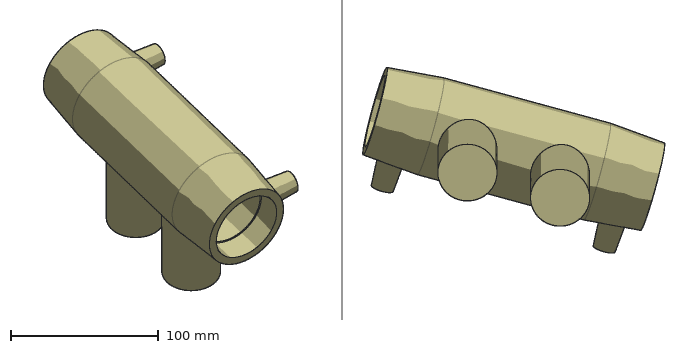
import cadquery as cq

sleeve_length = 195.0
sleeve_diameter = 68.0
end_diameter = 61.5
end_length = 39.0
half_length = sleeve_length / 2
sleeve_radius = sleeve_diameter / 2

overall_height = 123.0
overall_width = 85.0

bore_diameter = 47.5
socket_diameter = 50.0
socket_depth = 18.0

branch_diameter = 40.0
branch_spacing = 65.1
branch_reach = overall_height - sleeve_radius

terminal_tip_diameter = 15.6
terminal_base_diameter = 18.3
terminal_length = 19.9
terminal_overlap = 3.9
terminal_spacing = 156.0
terminal_reach = overall_width - sleeve_radius


def make_sleeve():
    """Revolve the outer profile: a cylinder with a straight taper at both ends."""
    end_radius = end_diameter / 2
    shoulder_x = half_length - end_length
    return (
        cq.Workplane("XY")
        .moveTo(-half_length, 0)
        .lineTo(-half_length, end_radius)
        .lineTo(-shoulder_x, sleeve_radius)
        .lineTo(shoulder_x, sleeve_radius)
        .lineTo(half_length, end_radius)
        .lineTo(half_length, 0)
        .close()
        .revolve(360, (0, 0, 0), (1, 0, 0))
    )


def make_branch(x):
    return (
        cq.Workplane("XY", origin=(x, 0, -branch_reach))
        .circle(branch_diameter / 2)
        .extrude(branch_reach)
    )


def make_terminal(x):
    """Cone from the tip inwards, continuing its taper into the sleeve wall."""
    total_length = terminal_length + terminal_overlap
    taper = (terminal_base_diameter - terminal_tip_diameter) / terminal_length
    root_diameter = terminal_tip_diameter + taper * total_length
    return cq.Workplane(
        cq.Solid.makeCone(
            terminal_tip_diameter / 2,
            root_diameter / 2,
            total_length,
            pnt=cq.Vector(x, terminal_reach, 0),
            dir=cq.Vector(0, -1, 0),
        )
    )


def make_bore():
    bore = cq.Workplane("YZ").circle(bore_diameter / 2).extrude(half_length, both=True)
    for start_x in (-half_length, half_length - socket_depth):
        socket = (
            cq.Workplane("YZ", origin=(start_x, 0, 0))
            .circle(socket_diameter / 2)
            .extrude(socket_depth)
        )
        bore = bore.union(socket)
    return bore


body = make_sleeve()
for side in (-1, 1):
    body = body.union(make_branch(side * branch_spacing / 2))
    body = body.union(make_terminal(side * terminal_spacing / 2))

result = body.cut(make_bore())